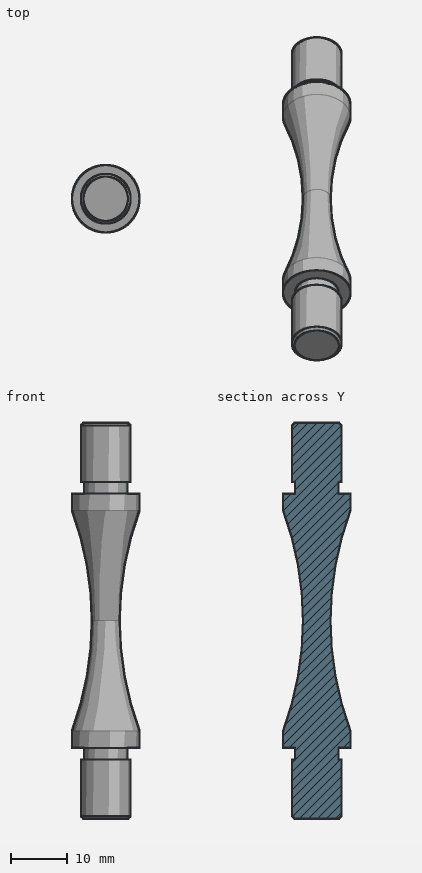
import cadquery as cq

total_length = 70.0
collar_diameter = 12.0
collar_thickness = 3.0
stud_diameter = 8.8
undercut_diameter = 7.8
undercut_length = 2.0
end_length = 12.5
chamfer = 0.5
waist_diameter = 5.0

collar_radius = collar_diameter / 2
stud_radius = stud_diameter / 2
undercut_radius = undercut_diameter / 2
waist_radius = waist_diameter / 2

tip_z = total_length / 2
collar_outer_z = tip_z - end_length
collar_inner_z = collar_outer_z - collar_thickness
stud_base_z = collar_outer_z + undercut_length

waist_rise = collar_radius - waist_radius
arc_radius = (collar_inner_z**2 + waist_rise**2) / (2 * waist_rise)


def waist_radius_at(z):
    """Radius of the waist at height z."""
    return waist_radius + arc_radius - (arc_radius**2 - z**2) ** 0.5


def make_half():
    """Upper half of the spindle, revolved about the Z axis."""
    arc_middle_z = collar_inner_z / 2
    profile = (
        cq.Workplane("XZ")
        .moveTo(0, 0)
        .lineTo(waist_radius, 0)
        .threePointArc(
            (waist_radius_at(arc_middle_z), arc_middle_z),
            (collar_radius, collar_inner_z),
        )
        .lineTo(collar_radius, collar_outer_z)
        .lineTo(undercut_radius, collar_outer_z)
        .lineTo(undercut_radius, stud_base_z)
        .lineTo(stud_radius, stud_base_z)
        .lineTo(stud_radius, tip_z - chamfer)
        .lineTo(stud_radius - chamfer, tip_z)
        .lineTo(0, tip_z)
        .close()
    )
    return profile.revolve(360, (0, 0, 0), (0, 1, 0))


upper_half = make_half()
result = upper_half.union(upper_half.mirror("XY"), clean=False)